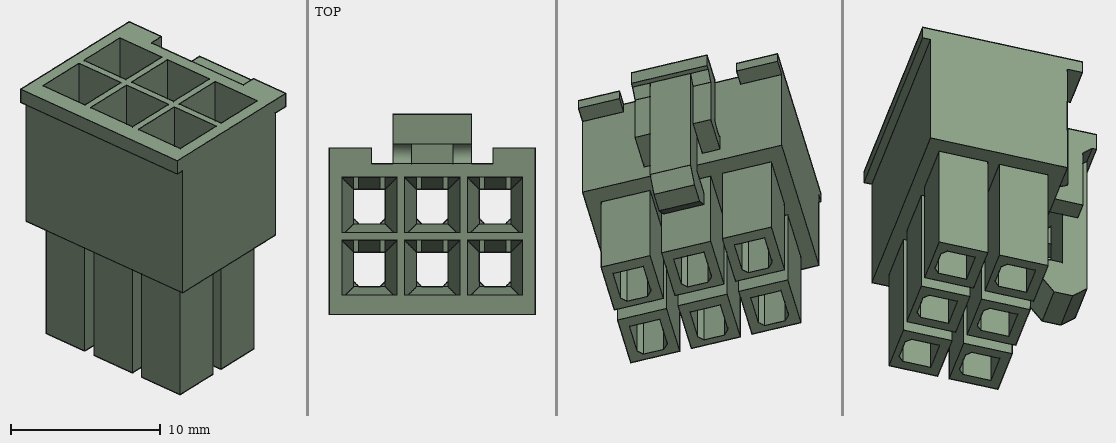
import cadquery as cq


COLUMNS = 3
ROWS = 2
PITCH = 4.2

BODY_WIDTH = 13.8
BODY_HEIGHT = 10.7
BODY_BACK = 4.85
BODY_FRONT = -4.7
FLANGE_BACK = 5.9
FLANGE_FRONT = -5.25
FLANGE_THICKNESS = 1.05
NOTCH_WIDTH = 8.1

LEG_SIZE = 3.4
LEG_LENGTH = 8.9

MOUTH_SIZE = 3.7
MOUTH_DEPTH = 5.2
FUNNEL_HEIGHT = 3.5
BORE_WIDTH = 2.1
BORE_BACK = 1.02
BORE_FRONT = -1.28
BORE_CORNER = 0.35
GROOVE_WIDTH = 0.33
LEDGE_HEIGHT = 1.0

LATCH_WIDTH = 5.25
LEVER_WIDTH = 2.8
HEAD_OUTER = 8.15
HEAD_TOP = 8.65
HEAD_BOTTOM = 7.2
LEVER_OUTER = 7.85
LEVER_INNER = 6.15
STRAP_OUTER = 7.2
STRAP_BOTTOM = 1.45
STRAP_SHOULDER = HEAD_BOTTOM - (LEVER_OUTER - STRAP_OUTER)
SADDLE_EDGE = 3.2
SADDLE_BOTTOM = 2.8
HOOK_TIP = 4.45
HOOK_TOP = -3.25
HOOK_TIP_BOTTOM = -4.85
HOOK_OUTER_BOTTOM = -5.3
HOOK_END = -6.3
HOOK_END_OUTER = 6.85
HOOK_END_INNER = 5.55

BORE_DEPTH = BORE_BACK - BORE_FRONT
BORE_MIDDLE = (BORE_BACK + BORE_FRONT) / 2
MOUTH_FLOOR = BODY_HEIGHT - MOUTH_DEPTH
FUNNEL_FLOOR = MOUTH_FLOOR - FUNNEL_HEIGHT
FUNNEL_RUN = (MOUTH_SIZE - BORE_WIDTH) / 2


def block(width, y_front, y_back, z_bottom, z_top, x_centre=0):
    """Axis-aligned box, centred on x_centre."""
    return cq.Workplane("XY").box(
        width, y_back - y_front, z_top - z_bottom, centered=(True, False, False)
    ).translate((x_centre, y_front, z_bottom))


def contact_positions():
    """Centres of all contact positions in the grid."""
    return [
        ((column - (COLUMNS - 1) / 2) * PITCH, (row - (ROWS - 1) / 2) * PITCH)
        for column in range(COLUMNS)
        for row in range(ROWS)
    ]


def make_housing():
    """Body with the top flange, which is notched to clear the latch."""
    body = block(BODY_WIDTH, BODY_FRONT, BODY_BACK, 0, BODY_HEIGHT)
    flange_bottom = BODY_HEIGHT - FLANGE_THICKNESS
    flange = block(BODY_WIDTH, FLANGE_FRONT, FLANGE_BACK, flange_bottom, BODY_HEIGHT)
    notch = block(NOTCH_WIDTH, BODY_BACK, FLANGE_BACK, flange_bottom, BODY_HEIGHT)
    return body.union(flange.cut(notch))


def make_leg():
    """Square leg below the body, overlapping into it."""
    return block(LEG_SIZE, -LEG_SIZE / 2, LEG_SIZE / 2, -LEG_LENGTH, LEDGE_HEIGHT)


def make_cavity():
    """Volume removed at one contact position, from the mouth to the end of the leg."""
    half_mouth = MOUTH_SIZE / 2
    mouth = block(MOUTH_SIZE, -half_mouth, half_mouth, MOUTH_FLOOR, BODY_HEIGHT)

    funnel = (
        cq.Workplane("XY", origin=(0, BORE_MIDDLE, FUNNEL_FLOOR))
        .rect(BORE_WIDTH, BORE_DEPTH)
        .workplane(offset=FUNNEL_HEIGHT)
        .rect(MOUTH_SIZE, BORE_DEPTH + 2 * FUNNEL_RUN)
        .loft()
        .intersect(block(MOUTH_SIZE, -half_mouth, half_mouth, FUNNEL_FLOOR, MOUTH_FLOOR))
    )

    throat = block(BORE_WIDTH, BORE_FRONT, BORE_BACK, LEDGE_HEIGHT, FUNNEL_FLOOR)
    cavity = mouth.union(funnel).union(throat)
    for side in (-1, 1):
        groove_x = side * (BORE_WIDTH - GROOVE_WIDTH) / 2
        cavity = cavity.union(
            block(GROOVE_WIDTH, BORE_MIDDLE, half_mouth, LEDGE_HEIGHT, MOUTH_FLOOR, groove_x)
        )

    bore = (
        block(BORE_WIDTH, BORE_FRONT, BORE_BACK, -LEG_LENGTH, LEDGE_HEIGHT)
        .edges("|Z and <Y")
        .chamfer(BORE_CORNER)
    )
    return cavity.union(bore)


def extrude_across(profile, width):
    """Extrude a closed YZ profile symmetrically about the X centre plane."""
    return profile.close().extrude(width / 2, both=True)


def make_latch():
    """Latch lever with its finger head, its hook and the two straps joining it to the body."""
    lever_profile = cq.Workplane("YZ").polyline([
        (LEVER_INNER, HEAD_TOP),
        (HEAD_OUTER, HEAD_TOP),
        (HEAD_OUTER, HEAD_BOTTOM),
        (LEVER_OUTER, HEAD_BOTTOM),
        (LEVER_OUTER, HOOK_OUTER_BOTTOM),
        (HOOK_END_OUTER, HOOK_END),
        (HOOK_END_INNER, HOOK_END),
        (HOOK_TIP, HOOK_TIP_BOTTOM),
        (HOOK_TIP, HOOK_TOP),
        (LEVER_INNER, HOOK_TOP),
    ])
    strap_profile = (
        cq.Workplane("YZ")
        .moveTo(LEVER_INNER, HEAD_TOP)
        .lineTo(HEAD_OUTER, HEAD_TOP)
        .lineTo(HEAD_OUTER, HEAD_BOTTOM)
        .lineTo(LEVER_OUTER, HEAD_BOTTOM)
        .lineTo(STRAP_OUTER, STRAP_SHOULDER)
        .lineTo(STRAP_OUTER, STRAP_BOTTOM)
        .lineTo(BODY_BACK, STRAP_BOTTOM)
        .lineTo(BODY_BACK, SADDLE_EDGE)
        .threePointArc(((BODY_BACK + LEVER_INNER) / 2, SADDLE_BOTTOM), (LEVER_INNER, SADDLE_EDGE))
    )
    window = block(LEVER_WIDTH, BODY_BACK, LEVER_INNER, STRAP_BOTTOM, HEAD_TOP)
    straps = extrude_across(strap_profile, LATCH_WIDTH).cut(window)
    return extrude_across(lever_profile, LEVER_WIDTH).union(straps)


result = make_housing()
for x, y in contact_positions():
    result = result.union(make_leg().translate((x, y, 0)))
for x, y in contact_positions():
    result = result.cut(make_cavity().translate((x, y, 0)))
result = result.union(make_latch())